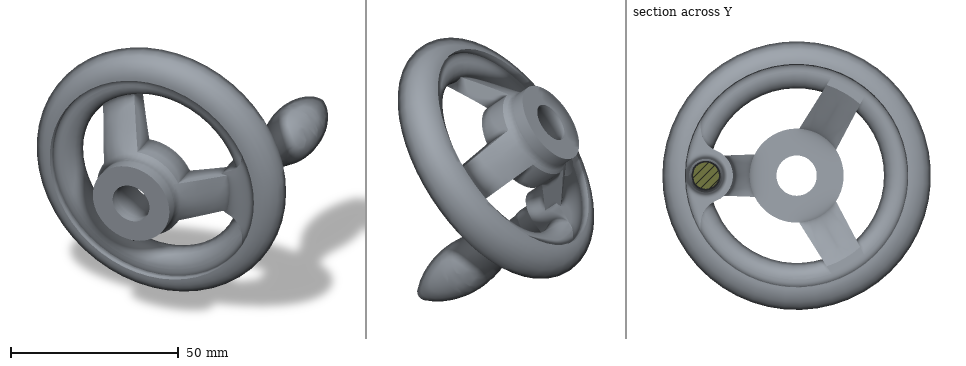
import cadquery as cq
import math


rim_outer_radius = 40.0
rim_circle_diameter = 66.0
rim_circle_radius = rim_circle_diameter / 2
rim_section_radius = rim_outer_radius - rim_circle_radius
rim_centre_y = 22.2
rim_inner_radius = rim_circle_radius - rim_section_radius
ring_thickness = 10.0
ring_section_radius = ring_thickness / 2
ring_centre_radius = rim_inner_radius + ring_section_radius
ring_back_y = rim_centre_y + ring_section_radius
lip_radius = 33.3

bore_diameter = 12.0
collar_diameter = 25.0
hub_diameter = 28.0
hub_length = 15.0
collar_length = 3.9
cone_angle = 43.0
collar_fillet_radius = 2.5

spoke_count = 3
spoke_inner_width = 13.6
spoke_outer_width = 11.3
spoke_outer_radius = ring_centre_radius
spoke_back_angle = 40.0

lug_front_y = 17.5
lug_back_y = 27.5
lug_radius = 8.1
lug_blend_radius = 7.4
lug_blend_x = 21.2
handle_x = 27.0

handle_base_diameter = 10.0
handle_base_end_y = 33.7
neck_y = 39.8
neck_radius = 4.1
neck_end_y = 47.1
neck_end_radius = 5.6
bulb_y = 56.7
bulb_radius = 7.9
bulb_mid_y = 67.6
bulb_mid_radius = 6.8
tip_start_y = 76.2
tip_radius = 2.4
handle_end_y = 77.7


def revolve_about_y(profile, x=0.0):
    """Turn an XY profile about the line parallel to Y at the given x."""
    return profile.close().revolve(360, (x, 0, 0), (x, 1, 0))


def prism(sketch_points, front_y, back_y):
    """Extrude an XZ polygon between two Y positions."""
    back_plane = cq.Workplane("XZ", origin=(0, back_y, 0))
    return back_plane.polyline(sketch_points).close().extrude(back_y - front_y)


def disc(radius, front_y, back_y):
    """Cylinder along the wheel axis."""
    return cq.Workplane("XZ", origin=(0, back_y, 0)).circle(radius).extrude(back_y - front_y)


cone = math.radians(cone_angle)
collar_radius = collar_diameter / 2
hub_radius = hub_diameter / 2
cone_start_y = collar_length + collar_fillet_radius * math.sin(cone)
cone_start_radius = collar_radius + collar_fillet_radius * (1 - math.cos(cone))
fillet_mid_y = collar_length + collar_fillet_radius * math.sin(cone / 2)
fillet_mid_radius = collar_radius + collar_fillet_radius * (1 - math.cos(cone / 2))


def cone_y(radius):
    """Y of the front cone at a given radius."""
    return cone_start_y + (radius - cone_start_radius) / math.tan(cone)


def make_hub():
    profile = (
        cq.Workplane("XY")
        .lineTo(collar_radius, 0)
        .lineTo(collar_radius, collar_length)
        .threePointArc((fillet_mid_radius, fillet_mid_y), (cone_start_radius, cone_start_y))
        .lineTo(hub_radius, cone_y(hub_radius))
        .lineTo(hub_radius, hub_length)
        .lineTo(0, hub_length)
    )
    return revolve_about_y(profile)


def make_spokes():
    back_end_radius = hub_radius + (ring_back_y - hub_length) / math.tan(math.radians(spoke_back_angle))
    profile = (
        cq.Workplane("XY")
        .moveTo(0, hub_length)
        .lineTo(0, cone_start_y)
        .lineTo(cone_start_radius, cone_start_y)
        .lineTo(spoke_outer_radius, cone_y(spoke_outer_radius))
        .lineTo(spoke_outer_radius, ring_back_y)
        .lineTo(back_end_radius, ring_back_y)
        .lineTo(hub_radius, hub_length)
    )
    cone_body = revolve_about_y(profile)
    outline = [
        (0, -spoke_inner_width / 2),
        (spoke_outer_radius, -spoke_outer_width / 2),
        (spoke_outer_radius, spoke_outer_width / 2),
        (0, spoke_inner_width / 2),
    ]
    spoke = prism(outline, 0, ring_back_y).intersect(cone_body)
    spokes = spoke
    for index in range(1, spoke_count):
        turned = spoke.rotate((0, 0, 0), (0, 1, 0), index * 360 / spoke_count)
        spokes = spokes.union(turned)
    return spokes


def make_rim():
    """Round outer grip with a thinner half-round ring set inside it."""
    lip_rise = math.sqrt(rim_section_radius ** 2 - (lip_radius - rim_circle_radius) ** 2)
    profile = (
        cq.Workplane("XY")
        .moveTo(lip_radius, rim_centre_y - lip_rise)
        .threePointArc((rim_outer_radius, rim_centre_y), (lip_radius, rim_centre_y + lip_rise))
        .lineTo(rim_circle_radius, rim_centre_y + ring_section_radius)
        .lineTo(ring_centre_radius, rim_centre_y + ring_section_radius)
        .threePointArc(
            (rim_inner_radius, rim_centre_y),
            (ring_centre_radius, rim_centre_y - ring_section_radius),
        )
        .lineTo(rim_circle_radius, rim_centre_y - ring_section_radius)
    )
    return revolve_about_y(profile)


def lug_prism(front_y, back_y):
    """Lug outline: a round boss blended by two hollows into the circle of the rim."""
    blend_z = math.sqrt((lug_radius + lug_blend_radius) ** 2 - (handle_x - lug_blend_x) ** 2)
    tangent_share = lug_radius / (lug_radius + lug_blend_radius)
    tangent_x = handle_x + (lug_blend_x - handle_x) * tangent_share
    tangent_z = blend_z * tangent_share
    side_x = lug_blend_x + lug_blend_radius
    side_z = math.sqrt(rim_circle_radius ** 2 - side_x ** 2)
    middle_angle = math.atan2(tangent_z - blend_z, tangent_x - lug_blend_x) / 2
    middle_x = lug_blend_x + lug_blend_radius * math.cos(middle_angle)
    middle_z = blend_z + lug_blend_radius * math.sin(middle_angle)
    return (
        cq.Workplane("XZ", origin=(0, back_y, 0))
        .moveTo(side_x, side_z)
        .lineTo(side_x, blend_z)
        .threePointArc((middle_x, middle_z), (tangent_x, tangent_z))
        .threePointArc((handle_x - lug_radius, 0), (tangent_x, -tangent_z))
        .threePointArc((middle_x, -middle_z), (side_x, -blend_z))
        .lineTo(side_x, -side_z)
        .threePointArc((rim_circle_radius, 0), (side_x, side_z))
        .close()
        .extrude(back_y - front_y)
    )


def make_handle():
    tip_height = handle_end_y - tip_start_y
    tip_sphere_radius = (tip_radius ** 2 + tip_height ** 2) / (2 * tip_height)
    profile = (
        cq.Workplane("XY")
        .moveTo(handle_x, lug_front_y)
        .lineTo(handle_x + handle_base_diameter / 2, lug_front_y)
        .lineTo(handle_x + handle_base_diameter / 2, handle_base_end_y)
        .threePointArc((handle_x + neck_radius, neck_y), (handle_x + neck_end_radius, neck_end_y))
        .spline(
            [
                (handle_x + bulb_radius, bulb_y),
                (handle_x + bulb_mid_radius, bulb_mid_y),
                (handle_x + tip_radius, tip_start_y),
            ],
            includeCurrent=True,
        )
        .radiusArc((handle_x, handle_end_y), -tip_sphere_radius)
    )
    return revolve_about_y(profile, handle_x)


rim = make_rim().cut(lug_prism(0, lug_front_y))
lug = lug_prism(lug_front_y, lug_back_y)
wheel = rim.union(lug).union(make_spokes()).union(make_hub())
bore = disc(bore_diameter / 2, 0, hub_length)
result = wheel.union(make_handle()).cut(bore)